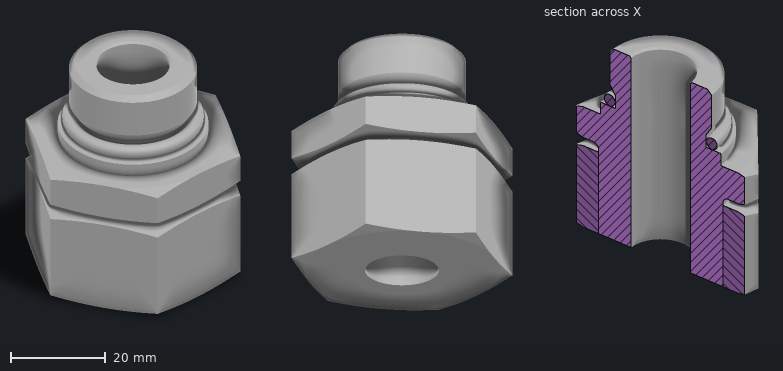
import cadquery as cq
import math

across_flats = 41.0
corner_angle = -22.5
hex_chamfer_angle = 15.0
flat_radius = across_flats / 2
corner_radius = flat_radius / math.cos(math.pi / 6)
corner_drop = (corner_radius - flat_radius) * math.tan(math.radians(hex_chamfer_angle))

total_height = 49.1
nut_height = 21.0
body_hex_bottom = 23.0
body_hex_top = 31.0
flange_top = 34.08
groove_top = 37.2
stud_bottom = 39.6

bore_diameter = 15.5
bore_chamfer = 0.5
stud_diameter = 27.0
stud_chamfer = 1.2
groove_diameter = 24.0
groove_fillet = 0.5
flange_diameter = 31.8
flange_chamfer = 0.2
shank_diameter = 33.0
shank_fillet = 1.3

ring_thickness = 2.95


def hex_prism(bottom, top):
    """Hexagonal prism whose corners are chamfered by a cone at both ends."""
    prism = (
        cq.Workplane("XY")
        .workplane(offset=bottom)
        .polygon(6, 2 * corner_radius)
        .extrude(top - bottom)
        .rotate((0, 0, 0), (0, 0, 1), corner_angle)
    )
    chamfer_envelope = (
        cq.Workplane("XZ")
        .moveTo(0, bottom)
        .lineTo(flat_radius, bottom)
        .lineTo(corner_radius, bottom + corner_drop)
        .lineTo(corner_radius, top - corner_drop)
        .lineTo(flat_radius, top)
        .lineTo(0, top)
        .close()
        .revolve(360, (0, 0, 0), (0, 1, 0))
    )
    return prism.intersect(chamfer_envelope)


def make_body():
    """Turned fitting body: shank, hexagon, flange, O-ring groove and stud around one bore."""
    shank_radius = shank_diameter / 2
    flange_radius = flange_diameter / 2
    groove_radius = groove_diameter / 2
    stud_radius = stud_diameter / 2
    bore_radius = bore_diameter / 2
    fillet_mid = shank_fillet * (1 - math.sqrt(0.5))

    wall_slope = math.atan2(stud_radius - groove_radius, stud_bottom - groove_top)
    fillet_start_height = groove_top - groove_fillet * math.tan(wall_slope / 2)

    def groove_fillet_point(turn):
        return (
            groove_radius + groove_fillet * (1 - math.cos(turn)),
            fillet_start_height + groove_fillet * math.sin(turn),
        )

    turned = (
        cq.Workplane("XZ")
        .moveTo(bore_radius, 0)
        .lineTo(shank_radius, 0)
        .lineTo(shank_radius, body_hex_bottom - shank_fillet)
        .threePointArc(
            (shank_radius + fillet_mid, body_hex_bottom - fillet_mid),
            (shank_radius + shank_fillet, body_hex_bottom),
        )
        .lineTo(flange_radius, body_hex_top)
        .lineTo(flange_radius, flange_top - flange_chamfer)
        .lineTo(flange_radius - flange_chamfer, flange_top)
        .lineTo(groove_radius, flange_top)
        .lineTo(groove_radius, fillet_start_height)
        .threePointArc(groove_fillet_point(wall_slope / 2), groove_fillet_point(wall_slope))
        .lineTo(stud_radius, stud_bottom)
        .lineTo(stud_radius, total_height - stud_chamfer)
        .lineTo(stud_radius - stud_chamfer, total_height)
        .lineTo(bore_radius + bore_chamfer, total_height)
        .lineTo(bore_radius, total_height - bore_chamfer)
        .close()
        .revolve(360, (0, 0, 0), (0, 1, 0))
    )
    bore = cq.Workplane("XY").circle(bore_radius).extrude(total_height)
    return turned.union(hex_prism(body_hex_bottom, body_hex_top)).cut(bore)


def make_nut():
    """Hexagonal nut with a through hole that fits the shank of the body."""
    shank_hole = cq.Workplane("XY").circle(shank_diameter / 2).extrude(nut_height)
    return hex_prism(0, nut_height).cut(shank_hole)


def make_o_ring():
    """Round-section ring that lies on the flange, against the floor of the groove."""
    section_radius = ring_thickness / 2
    center_radius = groove_diameter / 2 + section_radius
    return cq.Workplane(cq.Solid.makeTorus(
        center_radius, section_radius, cq.Vector(0, 0, flange_top + section_radius)
    ))


body = make_body()
nut = make_nut()
o_ring = make_o_ring()

result = cq.Compound.makeCompound([body.val(), nut.val(), o_ring.val()])